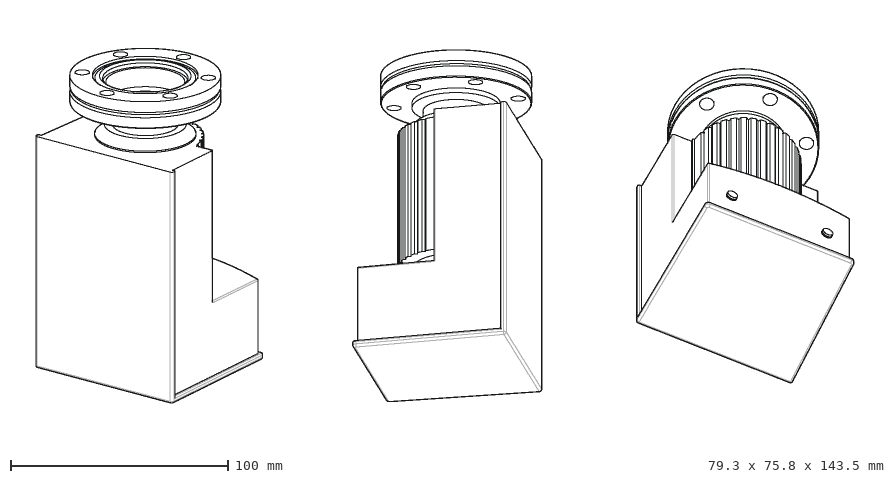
import cadquery as cq
import math

total_height = 143.5
housing_top = 114.1
rim_top = 3.0

cover_width = 79.4
cover_front = -32.0
cover_back = 40.9
plate_back = -29.3
back_taper = 1.9
cover_back_corner = 1.9
cover_outer_fillet = 1.1
cover_lip_fillet = 0.7

housing_inset = 1.7
housing_back = 38.9
tall_back = 2.6
housing_fillet = 0.7
roof_front_side, roof_front_crown = 39.6, 43.9
roof_back_side, roof_back_crown = 39.2, 44.4

fin_radius = 27.0
fin_bottom = 49.1
last_groove_angle = 69.0
grooves_per_side = 7
groove_depth = 1.0
groove_half_angle = 2.2
core_radius = 20.0
core_bottom = 35.9

pad_half_width = 27.5
pad_back = 4.0

stud_radius = 2.5
stud_spacing = 48.5
stud_z = 18.0
stud_protrusion = 1.6
stud_root = 1.5
stud_collar_radius = 2.6
stud_collar_protrusion = 0.6

flange_radius = 34.9
flange_bottom = 130.2
flange_edge_chamfer = 0.5
joint_z = 137.0
joint_half_width = 1.3
joint_depth = 0.6
collar_radius = 20.4
collar_bottom = 127.9
collar_slope_bottom = 126.5
neck_radius = 15.2
shoulder_top = 119.5
shoulder_top_radius = 19.0
shoulder_slope_bottom = 114.8
shoulder_radius = 23.4

recess_radius = 24.4
recess_z = 142.3
recess_floor_radius = 23.3
knife_radius = 21.1
knife_z = 143.1
knife_root_radius = 19.7
knife_root_z = 142.1
ledge_z = 140.2
counterbore_radius = 18.2
counterbore_z = 130.9
bore_radius = 12.5

bolt_count = 6
bolt_circle_radius = 29.3
bolt_hole_radius = 3.3


def half_width(y, inset=0.0):
    """Half width of the tapered outline at a given Y."""
    taper = back_taper * (y - cover_front) / (cover_back - cover_front)
    return cover_width / 2 - inset - taper


def tapered_block(y_front, y_back, inset, height):
    front, back = half_width(y_front, inset), half_width(y_back, inset)
    outline = [(-front, y_front), (front, y_front), (back, y_back), (-back, y_back)]
    return cq.Workplane("XY").polyline(outline).close().extrude(height)


def make_cover():
    cover = tapered_block(cover_front, cover_back, 0, housing_top)
    cover = cover.edges("|Z and >Y").fillet(cover_back_corner)
    behind_plate = cq.Workplane("XY").box(
        cover_width, cover_back - plate_back, housing_top - rim_top, centered=(True, False, False)
    )
    cover = cover.cut(behind_plate.translate((0, plate_back, rim_top)))
    outer_edges = cover.faces("<Z").edges().add(cover.faces("<Y").edges("|Z"))
    cover = cover.newObject(outer_edges.vals()).fillet(cover_outer_fillet)
    lip_edges = cover.faces("+Z").faces("<Z").edges("not <Y").add(cover.faces("+Y").faces("<Y").edges("|Z"))
    return cover.newObject(lip_edges.vals()).fillet(cover_lip_fillet)


def above_roof(workplane, side_z, crown_z):
    """Section of the space above the arched roof, wider than the housing."""
    half = half_width(tall_back, housing_inset)
    return (
        workplane.moveTo(-half, side_z)
        .threePointArc((0, crown_z), (half, side_z))
        .lineTo(half, total_height)
        .lineTo(-half, total_height)
        .close()
    )


def make_housing():
    housing = tapered_block(plate_back, housing_back, housing_inset, housing_top)
    front = above_roof(cq.Workplane("XZ", origin=(0, tall_back, 0)), roof_front_side, roof_front_crown)
    back = above_roof(front.workplane(offset=tall_back - housing_back), roof_back_side, roof_back_crown)
    housing = housing.cut(back.loft(ruled=True))
    roof_sides = "%BSPLINE"
    back_face_edges = "(>Y and (not <Z))"
    upright_edges = "(|Z and (not <Y))"
    return housing.edges(f"{roof_sides} or {back_face_edges} or {upright_edges}").fillet(housing_fillet)


def make_fins():
    fins = cq.Workplane("XY", origin=(0, 0, fin_bottom)).circle(fin_radius).extrude(housing_top - fin_bottom)
    mouth = 2 * fin_radius * math.tan(math.radians(groove_half_angle))
    groove = (
        cq.Workplane("XY", origin=(0, 0, fin_bottom))
        .polyline([(-mouth / 2, fin_radius), (mouth / 2, fin_radius), (0, fin_radius - groove_depth)])
        .close()
        .extrude(housing_top - fin_bottom)
    )
    pitch = last_groove_angle / grooves_per_side
    for i in range(-grooves_per_side, grooves_per_side + 1):
        fins = fins.cut(groove.rotate((0, 0, 0), (0, 0, 1), i * pitch))
    core_base = cq.Workplane("XY", origin=(0, 0, core_bottom))
    core = core_base.circle(core_radius).extrude(fin_bottom - core_bottom)
    pad = core_base.box(
        2 * pad_half_width, pad_back, housing_top - core_bottom, centered=(True, False, False)
    )
    return fins.union(core).union(pad)


def make_flange():
    chamfered_radius = flange_radius - flange_edge_chamfer
    profile = [
        (shoulder_radius, housing_top),
        (shoulder_radius, shoulder_slope_bottom),
        (shoulder_top_radius, shoulder_top),
        (neck_radius, shoulder_top),
        (neck_radius, collar_slope_bottom),
        (collar_radius, collar_bottom),
        (collar_radius, flange_bottom),
        (chamfered_radius, flange_bottom),
        (flange_radius, flange_bottom + flange_edge_chamfer),
        (flange_radius, joint_z - joint_half_width),
        (flange_radius - joint_depth, joint_z),
        (flange_radius, joint_z + joint_half_width),
        (flange_radius, total_height),
        (recess_radius, total_height),
        (recess_radius, recess_z),
        (recess_floor_radius, recess_z),
        (knife_radius, knife_z),
        (knife_root_radius, knife_root_z),
        (knife_root_radius, ledge_z),
        (counterbore_radius, ledge_z),
        (counterbore_radius, counterbore_z),
        (bore_radius, counterbore_z),
        (bore_radius, housing_top),
    ]
    flange = cq.Workplane("XZ").polyline(profile).close().revolve(360, (0, 0, 0), (0, 1, 0))
    bolt_holes = (
        cq.Workplane("XY", origin=(0, 0, flange_bottom))
        .polarArray(bolt_circle_radius, 90, 360, bolt_count)
        .circle(bolt_hole_radius)
        .extrude(total_height - flange_bottom)
    )
    return flange.cut(bolt_holes)


def stud_pair(radius, protrusion):
    return (
        cq.Workplane("XZ", origin=(0, housing_back - stud_root, stud_z))
        .rarray(stud_spacing, 1.5, 2, 1)
        .circle(radius)
        .extrude(-(stud_root + protrusion))
    )


def make_studs():
    collars = stud_pair(stud_collar_radius, stud_collar_protrusion)
    return stud_pair(stud_radius, stud_protrusion).union(collars)


result = (
    make_cover()
    .union(make_housing())
    .union(make_fins())
    .union(make_studs())
    .union(make_flange())
)